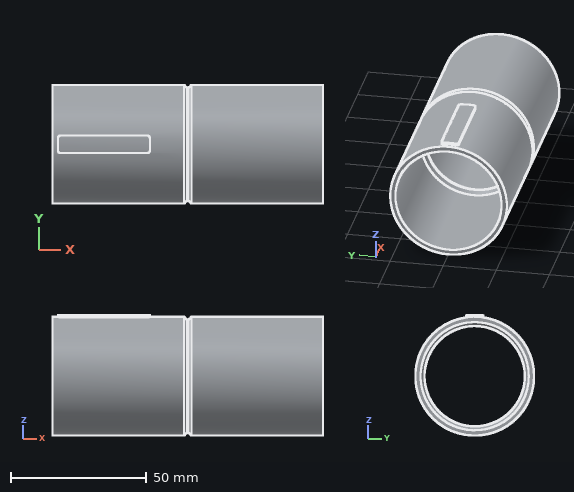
import cadquery as cq

length = 100.0
outer_radius = 44.0 / 2
bore_radius = 40.0 / 2
ridge_crest_radius = 37.0 / 2

groove_floor_radius = 41.6 / 2
groove_width = 2.8
groove_floor_width = 0.4

ridge_crest_width = groove_floor_width
ridge_width = ridge_crest_width + 2 * (bore_radius - ridge_crest_radius)

plate_length = 34.0
plate_width = 6.5
plate_height = 0.7
plate_end_gap = 2.0
plate_corner_radius = 1.0


def make_sleeve():
    """Revolve the wall section: grooved outside, stop ridge inside."""
    end = length / 2
    section = (
        cq.Workplane("XY")
        .moveTo(-end, bore_radius)
        .lineTo(-end, outer_radius)
        .lineTo(-groove_width / 2, outer_radius)
        .lineTo(-groove_floor_width / 2, groove_floor_radius)
        .lineTo(groove_floor_width / 2, groove_floor_radius)
        .lineTo(groove_width / 2, outer_radius)
        .lineTo(end, outer_radius)
        .lineTo(end, bore_radius)
        .lineTo(ridge_width / 2, bore_radius)
        .lineTo(ridge_crest_width / 2, ridge_crest_radius)
        .lineTo(-ridge_crest_width / 2, ridge_crest_radius)
        .lineTo(-ridge_width / 2, bore_radius)
        .close()
    )
    return section.revolve(360, (0, 0, 0), (1, 0, 0))


def make_label_plate():
    """Rounded plate whose top face is concentric with the sleeve."""
    plate_top_radius = outer_radius + plate_height
    root_radius = (bore_radius + outer_radius) / 2
    plate_centre_x = -length / 2 + plate_end_gap + plate_length / 2
    blank = (
        cq.Workplane("XY", origin=(plate_centre_x, 0, 0))
        .rect(plate_length, plate_width)
        .extrude(plate_top_radius)
        .edges("|Z")
        .fillet(plate_corner_radius)
    )
    ring = (
        cq.Workplane("YZ", origin=(-length / 2, 0, 0))
        .circle(plate_top_radius)
        .circle(root_radius)
        .extrude(length)
    )
    return blank.intersect(ring)


result = make_sleeve().union(make_label_plate())